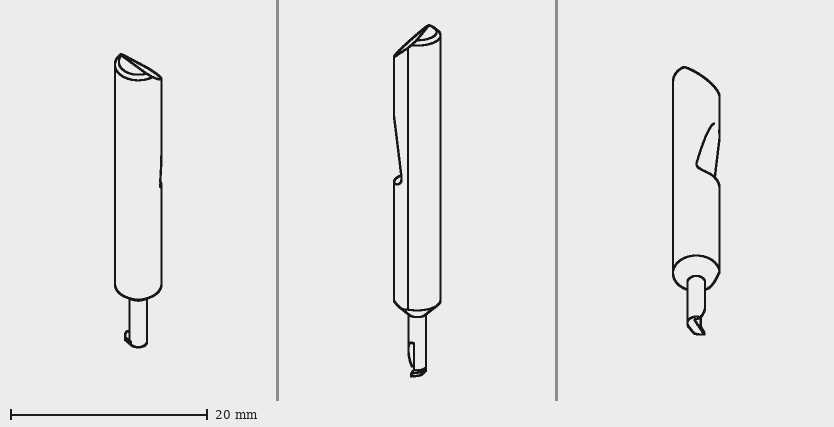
import cadquery as cq
import math


total_length = 38.09
shank_diameter = 4.76
shank_radius = shank_diameter / 2
margin = 1.0

neck_radius = 0.91
neck_length = 6.35
shoulder_length = shank_radius - neck_radius
shank_start = neck_length + shoulder_length

end_chamfer = 0.4
side_flat_distance = 2.03
side_flat_angle = 144.5
end_slope_y = -0.60

notch_depth = 1.28
notch_top_drop = 8.3
notch_bottom_drop = 17.0
notch_ramp_angle = 10.0
notch_radius = 1.05

rake_y = 0.05
relief_height = 3.33
relief_top_depth = 0.17
relief_angle = 20.5

tooth_tip_x = -1.70
tooth_height = 0.36
tooth_corner_chamfer = 0.10
heel_angle = 5.0
heel_x = -1.08
clearance_bulge = 0.09


def make_body():
    """Turn the neck, the conical shoulder and the chamfered shank."""
    profile = [
        (0, 0),
        (neck_radius, 0),
        (neck_radius, neck_length),
        (shank_radius, shank_start),
        (shank_radius, total_length - end_chamfer),
        (shank_radius - end_chamfer, total_length),
        (0, total_length),
    ]
    return cq.Workplane("XZ").polyline(profile).close().revolve(360, (0, 0), (0, 1))


def extrude_across(sketch):
    """Extrude a closed YZ outline across the whole shank width."""
    return sketch.close().extrude(shank_radius + margin, both=True)


def make_side_flat_cutter():
    """Block lying outside the long flat of the shank."""
    block = cq.Workplane("XY").box(
        shank_radius, 2 * shank_diameter, total_length, centered=(False, True, False)
    )
    block = block.translate((side_flat_distance, 0, 0))
    return block.rotate((0, 0, 0), (0, 0, 1), side_flat_angle)


def make_end_slope_cutter():
    """Wedge above the 45 degree slope at the end of the shank."""
    outer_y = shank_radius + margin
    slope_drop = outer_y - end_slope_y
    points = [
        (end_slope_y, total_length),
        (outer_y, total_length - slope_drop),
        (outer_y, total_length),
    ]
    return extrude_across(cq.Workplane("YZ").polyline(points))


def make_notch_cutter():
    """Ramped notch whose inner corner is one arc from the ramp to the flat floor."""
    ramp = math.radians(notch_ramp_angle)
    outer_y = shank_radius + margin
    floor_z = total_length - notch_bottom_drop
    ramp_start_z = total_length - notch_top_drop
    center_y = shank_radius - notch_depth + notch_radius
    center_z = floor_z + notch_radius

    def arc_point(angle):
        return (
            center_y + notch_radius * math.cos(angle),
            center_z + notch_radius * math.sin(angle),
        )

    ramp_tangent_angle = math.pi - ramp
    floor_angle = 1.5 * math.pi
    middle_angle = (ramp_tangent_angle + floor_angle) / 2
    sketch = (
        cq.Workplane("YZ")
        .moveTo(outer_y, ramp_start_z)
        .lineTo(shank_radius, ramp_start_z)
        .lineTo(*arc_point(ramp_tangent_angle))
        .threePointArc(arc_point(middle_angle), arc_point(floor_angle))
        .lineTo(outer_y, floor_z)
    )
    return extrude_across(sketch)


def make_chip_relief_cutter():
    """Tilted cut on the -X side of the neck, in front of the rake face."""
    outer_x = -neck_radius - margin
    top_x = relief_top_depth - neck_radius
    bottom_x = top_x + relief_height * math.tan(math.radians(relief_angle))
    points = [
        (outer_x, 0),
        (bottom_x, 0),
        (top_x, relief_height),
        (outer_x, relief_height),
    ]
    cutter = cq.Workplane("XZ").polyline(points).close().extrude(-(neck_radius + margin))
    return cutter.translate((0, rake_y, 0))


def make_tooth():
    """Hooked tooth: flat rake face, curved clearance face and a flat back."""
    heel = math.radians(heel_angle)
    tangent = (-neck_radius * math.sin(heel), -neck_radius * math.cos(heel))
    heel_y = tangent[1] + (tangent[0] - heel_x) * math.tan(heel)
    tooth = (
        cq.Workplane("XY")
        .moveTo(tangent[0], rake_y)
        .lineTo(tooth_tip_x, rake_y)
        .sagittaArc((heel_x, heel_y), -clearance_bulge)
        .lineTo(*tangent)
        .close()
        .extrude(tooth_height)
    )
    bevel = [
        (tooth_tip_x, tooth_height),
        (tooth_tip_x + tooth_corner_chamfer, tooth_height),
        (tooth_tip_x, tooth_height - tooth_corner_chamfer),
    ]
    bevel_sketch = cq.Workplane("XZ").polyline(bevel).close()
    bevel_cutter = bevel_sketch.extrude(neck_radius + margin, both=True)
    return tooth.cut(bevel_cutter)


result = make_body()
result = result.cut(make_side_flat_cutter())
result = result.cut(make_end_slope_cutter())
result = result.cut(make_notch_cutter())
result = result.cut(make_chip_relief_cutter())
result = result.union(make_tooth())